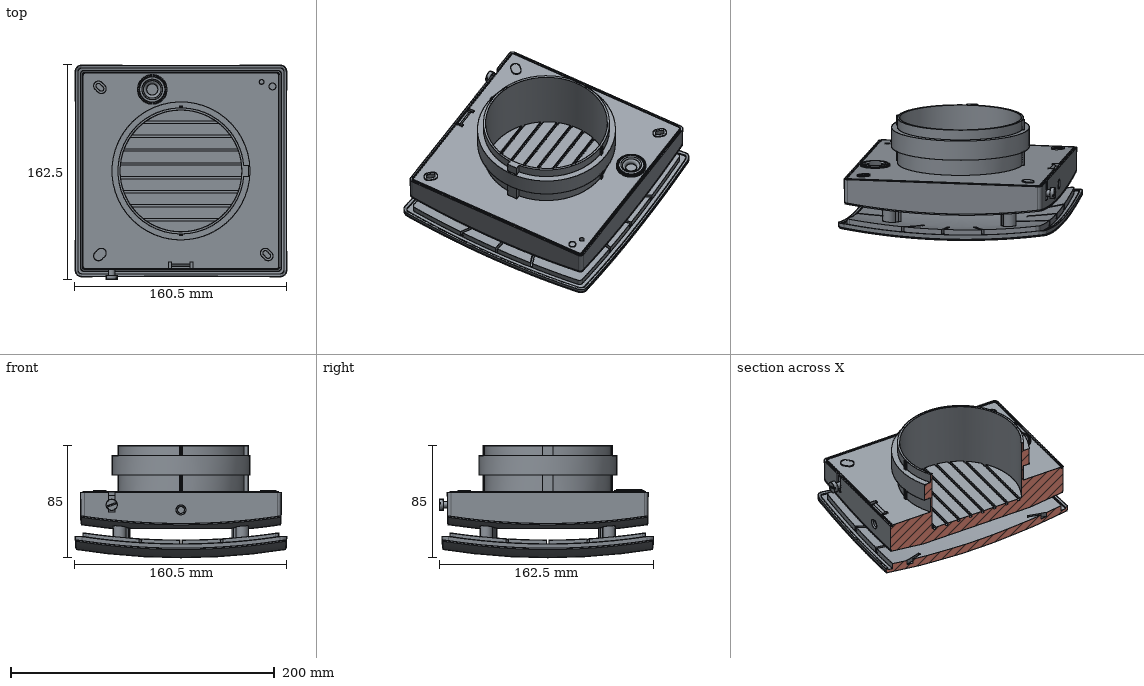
import cadquery as cq
import math

TUBE_TOP = 85.0
BAND_TOP, BAND_BOTTOM = 77.5, 62.7
PLATE_TOP = 50.0
RIM_TOP = 49.5
HOUSING_FLAT = 22.1
FOOT_HEIGHT = 0.8

DOME_RADIUS = 506.8
HOUSING_DOME_BOTTOM = 19.3
RIM_DOME_BOTTOM = 4.2
CHANNEL_DOME_BOTTOM = 3.2
SKIRT_DOME_BOTTOM = 8.0

STEP_INSET = 0.5
STEP_HEIGHT = 1.0

COVER_SIZE = 160.5
COVER_HEIGHT = 16.2
COVER_FOOT_SIZE = 158.9
COVER_CORNER = 5.2
LIP_WIDTH = 2.3
SKIRT_SIZE = 148.5
SKIRT_TOP = 22.7
SKIRT_CORNER = 2.5
HOUSING_SIZE = 152.4
HOUSING_FOOT_SIZE = 151.7
HOUSING_CORNER = 3.0
PLATE_SIZE = 148.1
PLATE_CORNER = 1.6
RIM_GROOVE = 0.8

TUBE_RADIUS = 47.8
BORE_RADIUS = 46.1
BAND_RADIUS = 52.3
SHUTTER_TOP = 34.1
FLAP_PITCH = 10.5
FLAP_COUNT = 9
FLAP_GAP = 1.8
RIB_WIDTH, RIB_GROOVE_WIDTH, RIB_REACH = 2.6, 1.0, 49.0
TAB_WIDTH, TAB_REACH = 8.1, 51.0

GROOVE_WIDTH = 1.8
GROOVE_LENGTH = 22.7
GROOVE_ANGLE = 22.5
POST_OFFSET = 46.5
POST_RADIUS = 4.9
POST_BOTTOM, POST_TOP = 10.5, 26
WEB_WIDTH, WEB_END = 4.2, 41.5
TONGUE_WIDTH, TONGUE_END = 2.0, 39.3

SCREW_X, SCREW_Z = -52.5, 40.1
SCREW_TIP_Y = -82.2
HEAD_RADIUS, HEAD_THICKNESS = 4.2, 3.1
SHANK_RADIUS, SHANK_EMBED = 2.6, 1.6
DRIVE_WIDTH, DRIVE_DEPTH, DRIVE_ANGLE = 1.0, 1.0, 20
SCREW_SLOT_WIDTH, SCREW_SLOT_BOTTOM, SCREW_SLOT_DEPTH = 4.9, 34.6, 1.3
RIM_NOTCH_BOTTOM = 47.1

GROMMET_X, GROMMET_Y = -21.8, 61.7
GROMMET_TOP = 51.8
GROMMET_FLOOR = 47.8
GROMMET_TEETH = 36


def rounded_prism(size, corner, bottom, top, foot_size=None):
    """Upright square prism; its sides slope in to foot_size at the bottom when that is given."""
    height = top - bottom
    draft = 0
    if foot_size:
        draft = math.degrees(math.atan((size - foot_size) / 2 / height))
    outline = cq.Sketch().rect(size, size).vertices().fillet(corner)
    prism = cq.Workplane("XY").placeSketch(outline).extrude(height, taper=draft)
    return prism.mirror("XY").translate((0, 0, top))


def dome(bottom):
    """Ball whose lowest point sits at the given height on the tube axis."""
    return cq.Workplane("XY").sphere(DOME_RADIUS).translate((0, 0, bottom + DOME_RADIUS))


def cylinder(radius, bottom, top, x=0, y=0):
    return cq.Workplane("XY", origin=(x, y, bottom)).circle(radius).extrude(top - bottom)


def block(x_range, y_range, z_range):
    """Box given by its limits along each axis."""
    sides = [high - low for low, high in (x_range, y_range, z_range)]
    corner = (x_range[0], y_range[0], z_range[0])
    return cq.Workplane("XY").box(*sides, centered=False).translate(corner)


def domed_body(size, foot_size, corner, bottom, top, dome_bottom):
    """Drafted square body with a domed underside that is stepped in slightly all round."""
    outer = rounded_prism(size, corner, bottom, top, foot_size)
    core = rounded_prism(
        size - 2 * STEP_INSET, corner - STEP_INSET, bottom, top, foot_size - 2 * STEP_INSET
    )
    outer = outer.intersect(dome(dome_bottom + STEP_HEIGHT))
    return outer.union(core.intersect(dome(dome_bottom)))


def make_cover():
    """Dished square cover: rim with a channel, and a raised skirt parted by radial grooves."""
    rim_dome = dome(RIM_DOME_BOTTOM)
    cover = domed_body(COVER_SIZE, COVER_FOOT_SIZE, COVER_CORNER, 0, COVER_HEIGHT, 0)
    cover = cover.cut(rim_dome)

    channel_size = COVER_SIZE - 2 * LIP_WIDTH
    channel = rounded_prism(channel_size, COVER_CORNER - LIP_WIDTH, 0, SKIRT_TOP)
    cover = cover.cut(channel.intersect(dome(CHANNEL_DOME_BOTTOM)))

    skirt = rounded_prism(SKIRT_SIZE, SKIRT_CORNER, 0, SKIRT_TOP)
    skirt = skirt.intersect(dome(0)).cut(dome(SKIRT_DOME_BOTTOM))

    groove_end = SKIRT_SIZE / 2 / math.cos(math.radians(GROOVE_ANGLE)) + GROOVE_WIDTH
    groove = block(
        (SKIRT_SIZE / 2 - GROOVE_LENGTH, groove_end),
        (-GROOVE_WIDTH / 2, GROOVE_WIDTH / 2),
        (0, SKIRT_TOP),
    ).intersect(rim_dome)
    for side in range(4):
        for step in (-1, 0, 1):
            angle = side * 90 + step * GROOVE_ANGLE
            skirt = skirt.cut(groove.rotate((0, 0, 0), (0, 0, 1), angle))
    return cover.union(skirt)


def make_post():
    """Spacer post on the +X +Y diagonal with a web and a thinner tongue pointing to the tube axis."""
    post = cylinder(POST_RADIUS, POST_BOTTOM, POST_TOP, POST_OFFSET, POST_OFFSET)
    diagonal = math.sqrt(2)
    for width, end in ((WEB_WIDTH, WEB_END), (TONGUE_WIDTH, TONGUE_END)):
        web = block(
            (end * diagonal, POST_OFFSET * diagonal),
            (-width / 2, width / 2),
            (POST_BOTTOM, POST_TOP),
        )
        post = post.union(web.rotate((0, 0, 0), (0, 0, 1), 45))
    return post


def make_housing():
    """Square housing: drafted walls, domed and flattened underside, raised plate inside a rim groove."""
    body = domed_body(
        HOUSING_SIZE, HOUSING_FOOT_SIZE, HOUSING_CORNER, HOUSING_FLAT, RIM_TOP, HOUSING_DOME_BOTTOM
    )
    plate = rounded_prism(PLATE_SIZE, PLATE_CORNER, RIM_TOP - RIM_GROOVE, PLATE_TOP)
    groove_size = PLATE_SIZE + 2 * RIM_GROOVE
    groove = rounded_prism(groove_size, PLATE_CORNER + RIM_GROOVE, RIM_TOP - RIM_GROOVE, PLATE_TOP)
    return body.cut(groove).union(plate)


def add_duct(body):
    """Open tube with a sleeve band, two grooved ribs and a tab, closed below by a louvred shutter."""
    tube = cylinder(TUBE_RADIUS, SHUTTER_TOP, TUBE_TOP)
    band = cylinder(BAND_RADIUS, BAND_BOTTOM, BAND_TOP)
    height = (RIM_TOP, TUBE_TOP)
    ribs = block((-RIB_WIDTH / 2, RIB_WIDTH / 2), (-RIB_REACH, RIB_REACH), height)
    crest_groove = (-RIB_GROOVE_WIDTH / 2, RIB_GROOVE_WIDTH / 2)
    for y_range in ((-RIB_REACH, -TUBE_RADIUS), (TUBE_RADIUS, RIB_REACH)):
        ribs = ribs.cut(block(crest_groove, y_range, (PLATE_TOP, TUBE_TOP)))
    tab = block((0, TAB_REACH), (-TAB_WIDTH / 2, TAB_WIDTH / 2), height)
    body = body.union(tube).union(band).union(ribs).union(tab)
    body = body.cut(cylinder(BORE_RADIUS, SHUTTER_TOP, TUBE_TOP))

    gap_floor = SHUTTER_TOP - FLAP_GAP
    bore = cylinder(BORE_RADIUS, gap_floor, SHUTTER_TOP)
    for gap in range(FLAP_COUNT - 1):
        y = (gap - (FLAP_COUNT - 2) / 2) * FLAP_PITCH
        slit = block(
            (-BORE_RADIUS, BORE_RADIUS),
            (y - FLAP_GAP / 2, y + FLAP_GAP / 2),
            (gap_floor, SHUTTER_TOP),
        )
        body = body.cut(slit.intersect(bore))
    return body


def oblong(x, y, width, angle, bottom, top):
    """Upright round-ended bar turned by angle; span is the distance between its end centres."""
    span = 3.1
    plane = cq.Workplane("XY", origin=(x, y, bottom))
    return plane.slot2D(width + span, width, angle).extrude(top - bottom)


def add_feet(body):
    """Oblong pads in three corners, two with a screw slot, and a round pad and a hole in the fourth."""
    pad_width, slot_width, slot_depth = 7.3, 3.7, 6.5
    pad_top = PLATE_TOP + FOOT_HEIGHT
    left, right, reach = -61.4, 65, 63.4
    round_pad_radius, round_pad_x, round_pad_y = 2.6, 69.4, 64.0
    hole_radius, hole_x, hole_y = 1.8, 61.0, 67.4
    for x, y, angle, slotted in (
        (left, reach, -45, True),
        (right, -reach, -45, True),
        (left, -reach, 45, False),
    ):
        body = body.union(oblong(x, y, pad_width, angle, RIM_TOP, pad_top))
        if slotted:
            body = body.cut(oblong(x, y, slot_width, angle, PLATE_TOP - slot_depth, pad_top))
    body = body.union(cylinder(round_pad_radius, RIM_TOP, pad_top, round_pad_x, round_pad_y))
    hole = cylinder(hole_radius, PLATE_TOP - slot_depth, PLATE_TOP, hole_x, hole_y)
    return body.cut(hole)


def add_grommet(body):
    """Round cable grommet with a toothed flange and a rounded funnel leading to a blind hole."""
    flange_radius, collar_radius = 11.2, 9.6
    mouth_radius, throat_radius, hole_radius = 7.8, 6.7, 4.2
    throat_height = GROMMET_TOP - 1.1
    flange_top = PLATE_TOP + FOOT_HEIGHT
    lip_radius = throat_radius - hole_radius
    lip_bottom = throat_height - lip_radius
    tooth_gap = 0.8

    flange = cylinder(flange_radius, RIM_TOP, flange_top)
    tooth_gaps = (
        cq.Workplane("XY", origin=(0, 0, PLATE_TOP))
        .polarArray(flange_radius, 0, 360, GROMMET_TEETH)
        .rect(2 * (flange_radius - collar_radius), tooth_gap)
        .extrude(FOOT_HEIGHT)
    )
    flange = flange.cut(tooth_gaps)
    collar = cylinder(collar_radius, RIM_TOP, GROMMET_TOP)
    funnel = (
        cq.Workplane("XZ")
        .moveTo(0, GROMMET_FLOOR)
        .lineTo(hole_radius, GROMMET_FLOOR)
        .lineTo(hole_radius, lip_bottom)
        .radiusArc((throat_radius, throat_height), lip_radius)
        .lineTo(mouth_radius, GROMMET_TOP)
        .lineTo(0, GROMMET_TOP)
        .close()
        .revolve(360, (0, 0, 0), (0, 1, 0))
    )
    place = (GROMMET_X, GROMMET_Y, 0)
    return body.union(flange.union(collar).translate(place)).cut(funnel.translate(place))


def add_latch(body):
    """Latch recess at the -Y edge of the plate: two narrow slots with a ramp and ledge between them."""
    half_length, slot_width, depth = 9.3, 2.3, 2.5
    edge_y, slot_y = -PLATE_SIZE / 2, -69.0
    ramp_top_y, ramp_foot_y = -70.5, -72.3
    heights = (PLATE_TOP - depth, PLATE_TOP)
    for x in (-half_length, half_length - slot_width):
        body = body.cut(block((x, x + slot_width), (edge_y, slot_y), heights))
    ramp_length = 2 * (half_length - slot_width)
    ramp = (
        cq.Workplane("YZ", origin=(-ramp_length / 2, 0, 0))
        .moveTo(ramp_top_y, PLATE_TOP)
        .lineTo(edge_y, PLATE_TOP)
        .lineTo(edge_y, PLATE_TOP - depth / 2)
        .lineTo(ramp_foot_y, PLATE_TOP - depth / 2)
        .close()
        .extrude(ramp_length)
    )
    return body.cut(ramp)


def add_front_hole(body):
    """Countersunk blind hole in the middle of the -Y wall."""
    height, mouth_radius, hole_radius, sink, depth = 36.2, 3.9, 2.6, 1.3, 3.2
    wall_y = -HOUSING_SIZE / 2
    axis = cq.Workplane("XZ", origin=(0, wall_y, height))
    hole = axis.circle(hole_radius).extrude(-depth)
    mouth = axis.circle(mouth_radius).workplane(offset=-sink).circle(hole_radius).loft()
    return body.cut(hole).cut(mouth)


def add_screw(body):
    """Slotted screw in an upright recess of the -Y wall, notched through the rim at its top."""
    wall_y = -HOUSING_SIZE / 2
    recess_y = wall_y + SCREW_SLOT_DEPTH
    half_width = SCREW_SLOT_WIDTH / 2
    recess_x = (SCREW_X - half_width, SCREW_X + half_width)
    recess = block(recess_x, (wall_y, recess_y), (SCREW_SLOT_BOTTOM, RIM_TOP))
    rim_notch = block(recess_x, (wall_y, -PLATE_SIZE / 2), (RIM_NOTCH_BOTTOM, RIM_TOP))
    tip = cq.Workplane("XZ", origin=(SCREW_X, SCREW_TIP_Y, SCREW_Z))
    shank_length = recess_y + SHANK_EMBED - SCREW_TIP_Y
    shank = tip.circle(SHANK_RADIUS).extrude(-shank_length)
    head = tip.circle(HEAD_RADIUS).extrude(-HEAD_THICKNESS)
    drive = (
        tip.transformed(rotate=(0, 0, DRIVE_ANGLE))
        .rect(2 * HEAD_RADIUS, DRIVE_WIDTH)
        .extrude(-DRIVE_DEPTH)
    )
    return body.cut(recess).cut(rim_notch).union(shank).union(head).cut(drive)


housing = add_duct(make_housing())
for add_feature in (add_feet, add_grommet, add_latch, add_front_hole, add_screw):
    housing = add_feature(housing)

result = make_cover().union(housing)
for quarter in range(4):
    result = result.union(make_post().rotate((0, 0, 0), (0, 0, 1), quarter * 90))